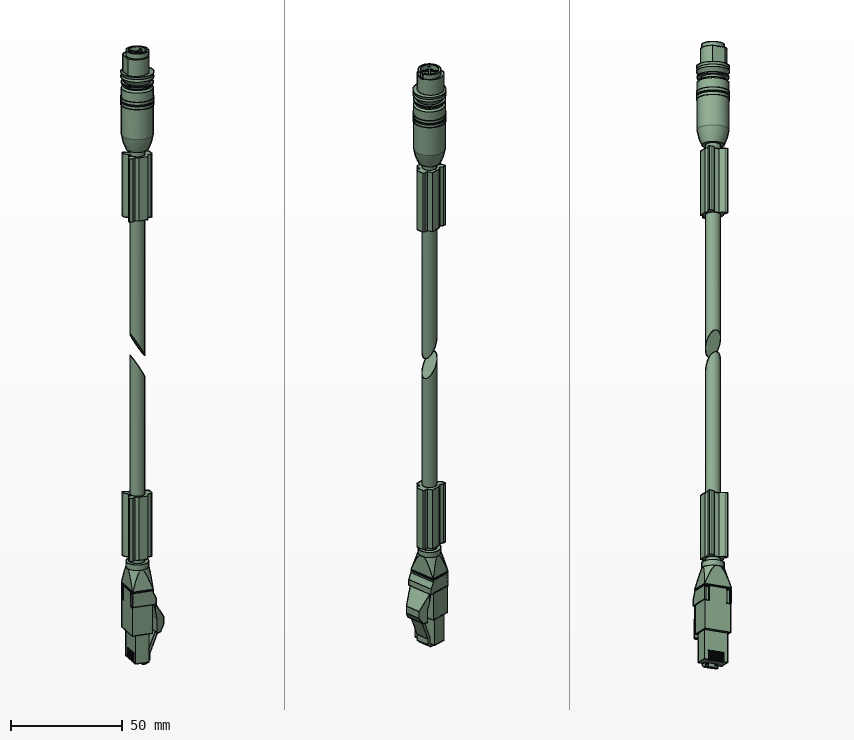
import cadquery as cq
import math


TOTAL_HEIGHT = 294.0

CABLE_RADIUS = 6.8 / 2
UPPER_BREAK_MID = 152.5
LOWER_BREAK_MID = 142.2
BREAK_HALF_RISE = 5.5

NOSE_RADIUS = 10.3 / 2
NOSE_BOTTOM = 283.5
SHELL_RADIUS = 12.0 / 2
SHELL_CENTER_Y = -0.73
SHELL_TOP = 291.5
SHELL_FLAT_Y = -6.0
COLLAR_CONE_RADIUS = 6.0
KEYWAY_WIDTH = 1.5
KEYWAY_DEPTH = 3.0
SOCKET_RADIUS = 8.2 / 2
SOCKET_DEPTH = 7.0
SHIELD_THICKNESS = 1.0
SHIELD_RECESS = 1.0
PIN_RADIUS = 1.0 / 2
PIN_CIRCLE_RADIUS = 3.0
PIN_PAIR_ANGLE = 40.0
PIN_RECESS = 1.8
COLLAR_RADIUS = 15.0 / 2
BODY_RADIUS = 14.5 / 2
NECK_RADIUS = 10.5 / 2
TAIL_RADIUS = 10.0 / 2
COLLAR_WAIST = 282.5
COLLAR_EDGE = 281.3
COLLAR_CONE_BOTTOM = 279.0
DISC_THICKNESS = 0.5
BODY_TOP = 277.0
BODY_BOTTOM = 253.5
BODY_CHAMFER = 1.0
RING_TOP = 271.5
RING_BOTTOM = 268.0
RING_GROOVE_WIDTH = 0.5
TAIL_BEND_RADIUS = 6.2
TAIL_BEND_Z = 249.2
TAIL_BOTTOM = 246.5

SLEEVE_LENGTH = 30.3
SLEEVE_BOTTOMS = [213.7, 50.8]
SLEEVE_HALF_WIDTH = 4.7
SLEEVE_WAIST_HALF_WIDTH = 3.8
SLEEVE_REAR_HALF_WIDTH = 2.4
TROUGH_FLOOR_HALF_WIDTH = 1.2
TROUGH_MOUTH_HALF_WIDTH = 3.5
REAR_FACE_HALF_WIDTH = 1.8
SLEEVE_FRONT_Y = -5.5
WING_BACK_Y = -4.0
WAIST_FRONT_Y = -2.5
SIDE_FRONT_Y = -1.2
TROUGH_FLOOR_Y = -3.8
TROUGH_WALL_X = 2.0
TROUGH_WALL_Y = -5.0
SIDE_REAR_Y = 3.2
SHOULDER_Y = 4.0
REAR_EDGE_Y = 5.5
SLEEVE_REAR_Y = 6.5

BOOT_TOP = 48.8
BOOT_RING_BOTTOM = 46.0
BOOT_RADIUS = 10.3 / 2
BOOT_DEPTH_HALF = 5.0
HOUSING_HALF_WIDTH = 6.8
HOUSING_BOTTOM = 15.5
HOUSING_SIDE_STEP = 0.3
HOUSING_REAR_Y = 4.7
SEAM_Z = 36.7
SEAM_WIDTH = 0.5
SEAM_DEPTH = 0.3
WINDOW_BOTTOM = 29.0
WINDOW_WIDTH = 1.8
WINDOW_RIM = 0.5
WINDOW_DEPTH = 0.5
HOOD_REAR_Y = 6.5
HOOD_KNEE_Z = 32.3
HOOD_SLOPE_TOP = 35.3
HOOD_BOTTOM = 29.5
TONGUE_HALF_WIDTH = 6.0
TONGUE_HALF_DEPTH = 3.2
TONGUE_BOTTOM = 1.8
CONTACT_COUNT = 8
CONTACT_PITCH = 1.03
CONTACT_SLOT_WIDTH = 0.5
CONTACT_SLOT_DEPTH = 1.0
CONTACT_SLOT_TOP = 6.2

LEVER_REACH_Y = 11.32
LEVER_ROOT_HALF_WIDTH = 6.0
LEVER_PEAK_HALF_WIDTH = 3.8
LEVER_PEAK_TOP = 21.7
LEVER_PEAK_BOTTOM = 18.2
LEVER_HEEL_Z = 15.0
LEVER_HEEL_OUTER_Y = 9.5
LEVER_INNER_Y = 7.3
LEVER_ROOT_Y = 5.5
LATCH_THICKNESS = 1.5
LATCH_FOOT_Y = 3.2
LATCH_FOOT_Z = 4.7
LATCH_TIP_OUTER_Y = 4.7
LATCH_TIP_BOTTOM_Y = 3.0
LATCH_TIP_INNER_Y = 1.2
LATCH_HALF_WIDTH = 3.2
LATCH_GAP_WIDTH = 1.0
LATCH_GAP_OFFSET = 2.0
LATCH_GAP_HEIGHT = 1.5


def cylinder(radius, bottom, top):
    return cq.Workplane("XY").workplane(offset=bottom).circle(radius).extrude(top - bottom)


def block(x_min, x_max, y_min, y_max, z_min, z_max):
    size = (x_max - x_min, y_max - y_min, z_max - z_min)
    return cq.Workplane("XY").box(*size, centered=False).translate((x_min, y_min, z_min))


def side_prism(points, half_width):
    """Extrude a (y, z) outline symmetrically along X."""
    return cq.Workplane("YZ").polyline(points).close().extrude(half_width, both=True)


def upper_cable():
    outline = [
        (-CABLE_RADIUS, UPPER_BREAK_MID + BREAK_HALF_RISE),
        (CABLE_RADIUS, UPPER_BREAK_MID - BREAK_HALF_RISE),
        (CABLE_RADIUS, TAIL_BOTTOM),
        (-CABLE_RADIUS, TAIL_BOTTOM),
    ]
    lowest = UPPER_BREAK_MID - BREAK_HALF_RISE
    return cylinder(CABLE_RADIUS, lowest, TAIL_BOTTOM).intersect(side_prism(outline, CABLE_RADIUS))


def lower_cable():
    outline = [
        (-CABLE_RADIUS, LOWER_BREAK_MID + BREAK_HALF_RISE),
        (CABLE_RADIUS, LOWER_BREAK_MID - BREAK_HALF_RISE),
        (CABLE_RADIUS, BOOT_TOP),
        (-CABLE_RADIUS, BOOT_TOP),
    ]
    highest = LOWER_BREAK_MID + BREAK_HALF_RISE
    return cylinder(CABLE_RADIUS, BOOT_TOP, highest).intersect(side_prism(outline, CABLE_RADIUS))


def connector_turning():
    """Turned shape of the round connector: nose, collar, body and tapered tail."""
    disc_bottom = COLLAR_CONE_BOTTOM - DISC_THICKNESS
    profile = [
        (0, TOTAL_HEIGHT),
        (NOSE_RADIUS, TOTAL_HEIGHT),
        (NOSE_RADIUS, NOSE_BOTTOM),
        (COLLAR_RADIUS, NOSE_BOTTOM),
        (BODY_RADIUS, COLLAR_WAIST),
        (COLLAR_RADIUS, COLLAR_EDGE),
        (COLLAR_CONE_RADIUS, COLLAR_CONE_BOTTOM),
        (BODY_RADIUS, COLLAR_CONE_BOTTOM),
        (BODY_RADIUS, disc_bottom),
        (NECK_RADIUS, disc_bottom),
        (NECK_RADIUS, BODY_TOP),
        (BODY_RADIUS - BODY_CHAMFER, BODY_TOP),
        (BODY_RADIUS, BODY_TOP - BODY_CHAMFER),
        (BODY_RADIUS, BODY_BOTTOM),
    ]
    turning = (
        cq.Workplane("XZ")
        .polyline(profile)
        .threePointArc((TAIL_BEND_RADIUS, TAIL_BEND_Z), (TAIL_RADIUS, TAIL_BOTTOM))
        .lineTo(0, TAIL_BOTTOM)
        .close()
        .revolve(360, (0, 0, 0), (0, 1, 0))
    )
    ring_middle = (RING_TOP + RING_BOTTOM) / 2
    band_height = (RING_TOP - RING_BOTTOM - RING_GROOVE_WIDTH) / 2
    for bottom in (RING_BOTTOM, ring_middle + RING_GROOVE_WIDTH / 2):
        turning = turning.union(cylinder(COLLAR_RADIUS, bottom, bottom + band_height))
    return turning


def connector_shell():
    """Eccentric shell around the nose, flat towards -Y and almost flush with the nose at +Y."""
    shell = cylinder(SHELL_RADIUS, NOSE_BOTTOM, SHELL_TOP).translate((0, SHELL_CENTER_Y, 0))
    limits = block(-SHELL_RADIUS, SHELL_RADIUS, SHELL_FLAT_Y, SHELL_RADIUS, NOSE_BOTTOM, SHELL_TOP)
    return shell.intersect(limits)


def connector_contacts(floor):
    """Diagonal shield cross with one pair of pins in each of its four quarters."""
    top = TOTAL_HEIGHT - SHIELD_RECESS
    arm = block(
        -SOCKET_RADIUS, SOCKET_RADIUS, -SHIELD_THICKNESS / 2, SHIELD_THICKNESS / 2, floor, top
    )
    contacts = cq.Workplane("XY")
    for angle in (45, 135):
        contacts = contacts.add(arm.rotate((0, 0, 0), (0, 0, 1), angle))
    for quarter in range(4):
        for side in (-1, 1):
            angle = math.radians(90 * quarter + side * PIN_PAIR_ANGLE / 2)
            place = (PIN_CIRCLE_RADIUS * math.cos(angle), PIN_CIRCLE_RADIUS * math.sin(angle), 0)
            contacts = contacts.add(cylinder(PIN_RADIUS, floor, TOTAL_HEIGHT - PIN_RECESS).translate(place))
    return contacts.combine()


def make_connector_half():
    """Round connector moulded onto the upper length of cable."""
    floor = TOTAL_HEIGHT - SOCKET_DEPTH
    keyway = block(
        -KEYWAY_WIDTH / 2, KEYWAY_WIDTH / 2, 0, NOSE_RADIUS, TOTAL_HEIGHT - KEYWAY_DEPTH, TOTAL_HEIGHT
    )
    half = connector_turning().union(connector_shell())
    half = half.cut(cylinder(SOCKET_RADIUS, floor, TOTAL_HEIGHT)).cut(keyway)
    return half.union(connector_contacts(floor)).union(upper_cable())


def make_sleeve(bottom):
    """Marker sleeve around the cable, with a label trough towards -Y."""
    right_side = [
        (SLEEVE_HALF_WIDTH, SLEEVE_FRONT_Y),
        (SLEEVE_HALF_WIDTH, WING_BACK_Y),
        (SLEEVE_WAIST_HALF_WIDTH, WAIST_FRONT_Y),
        (SLEEVE_HALF_WIDTH, SIDE_FRONT_Y),
        (SLEEVE_HALF_WIDTH, SIDE_REAR_Y),
        (SLEEVE_REAR_HALF_WIDTH, SHOULDER_Y),
        (SLEEVE_REAR_HALF_WIDTH, REAR_EDGE_Y),
        (REAR_FACE_HALF_WIDTH, SLEEVE_REAR_Y),
    ]
    left_side = [(-x, y) for x, y in reversed(right_side)]
    section = (
        cq.Workplane("XY")
        .workplane(offset=bottom)
        .moveTo(-TROUGH_FLOOR_HALF_WIDTH, TROUGH_FLOOR_Y)
        .lineTo(TROUGH_FLOOR_HALF_WIDTH, TROUGH_FLOOR_Y)
        .threePointArc((TROUGH_WALL_X, TROUGH_WALL_Y), (TROUGH_MOUTH_HALF_WIDTH, SLEEVE_FRONT_Y))
    )
    for point in right_side + left_side:
        section = section.lineTo(*point)
    section = (
        section.lineTo(-TROUGH_MOUTH_HALF_WIDTH, SLEEVE_FRONT_Y)
        .threePointArc((-TROUGH_WALL_X, TROUGH_WALL_Y), (-TROUGH_FLOOR_HALF_WIDTH, TROUGH_FLOOR_Y))
        .close()
    )
    sleeve = section.extrude(SLEEVE_LENGTH)
    return sleeve.cut(cylinder(CABLE_RADIUS, bottom, bottom + SLEEVE_LENGTH))


def plug_boot():
    """Strain relief: a round ring that blends into the rectangular housing."""
    ring = cylinder(BOOT_RADIUS, BOOT_RING_BOTTOM, BOOT_TOP)
    corner_radius = math.hypot(HOUSING_HALF_WIDTH, BOOT_DEPTH_HALF)
    cone = (
        cq.Workplane("XY")
        .workplane(offset=SEAM_Z)
        .circle(corner_radius)
        .workplane(offset=BOOT_RING_BOTTOM - SEAM_Z)
        .circle(BOOT_RADIUS)
        .loft(ruled=True)
    )
    sloping_sides = (
        cq.Workplane("XZ")
        .polyline(
            [
                (-HOUSING_HALF_WIDTH, SEAM_Z),
                (HOUSING_HALF_WIDTH, SEAM_Z),
                (BOOT_RADIUS, BOOT_RING_BOTTOM),
                (-BOOT_RADIUS, BOOT_RING_BOTTOM),
            ]
        )
        .close()
        .extrude(BOOT_DEPTH_HALF, both=True)
    )
    return ring.union(cone.intersect(sloping_sides))


def plug_housing():
    """Rectangular housing with a hood at the rear, a seam all round and two front windows."""
    outline = [
        (-BOOT_DEPTH_HALF, SEAM_Z),
        (BOOT_DEPTH_HALF, SEAM_Z),
        (BOOT_DEPTH_HALF, HOOD_SLOPE_TOP),
        (HOOD_REAR_Y, HOOD_KNEE_Z),
        (HOOD_REAR_Y, HOOD_BOTTOM),
        (HOUSING_REAR_Y, HOOD_BOTTOM),
        (HOUSING_REAR_Y, HOUSING_BOTTOM),
        (-BOOT_DEPTH_HALF, HOUSING_BOTTOM),
    ]
    housing = side_prism(outline, HOUSING_HALF_WIDTH)
    seam_bottom = SEAM_Z - SEAM_WIDTH
    core_half_width = HOUSING_HALF_WIDTH - SEAM_DEPTH
    core_half_depth = BOOT_DEPTH_HALF - SEAM_DEPTH
    around = block(
        -HOUSING_HALF_WIDTH, HOUSING_HALF_WIDTH, -HOOD_REAR_Y, HOOD_REAR_Y, seam_bottom, SEAM_Z
    )
    core = block(
        -core_half_width, core_half_width, -core_half_depth, core_half_depth, seam_bottom, SEAM_Z
    )
    housing = housing.cut(around.cut(core))
    window = block(
        -WINDOW_WIDTH / 2,
        WINDOW_WIDTH / 2,
        -BOOT_DEPTH_HALF,
        WINDOW_DEPTH - BOOT_DEPTH_HALF,
        WINDOW_BOTTOM,
        seam_bottom - WINDOW_RIM,
    )
    window_x = HOUSING_HALF_WIDTH - WINDOW_RIM - WINDOW_WIDTH / 2
    side_step = block(
        -HOUSING_SIDE_STEP / 2,
        HOUSING_SIDE_STEP / 2,
        -BOOT_DEPTH_HALF,
        HOOD_REAR_Y,
        HOUSING_BOTTOM,
        HOOD_BOTTOM,
    )
    step_x = HOUSING_HALF_WIDTH - HOUSING_SIDE_STEP / 2
    for side in (-1, 1):
        housing = housing.cut(window.translate((side * window_x, 0, 0)))
        housing = housing.cut(side_step.translate((side * step_x, 0, 0)))
    return housing


def plug_tongue():
    """Mating tongue with a row of contact slots in its front face."""
    tongue = block(
        -TONGUE_HALF_WIDTH,
        TONGUE_HALF_WIDTH,
        -TONGUE_HALF_DEPTH,
        TONGUE_HALF_DEPTH,
        TONGUE_BOTTOM,
        HOUSING_BOTTOM,
    )
    slot = block(
        -CONTACT_SLOT_WIDTH / 2,
        CONTACT_SLOT_WIDTH / 2,
        -TONGUE_HALF_DEPTH,
        CONTACT_SLOT_DEPTH - TONGUE_HALF_DEPTH,
        TONGUE_BOTTOM,
        CONTACT_SLOT_TOP,
    )
    for index in range(CONTACT_COUNT):
        x = (index - (CONTACT_COUNT - 1) / 2) * CONTACT_PITCH
        tongue = tongue.cut(slot.translate((x, 0, 0)))
    return tongue


def plug_lever():
    """Release lever hanging from the hood, narrowing towards its outer edge."""
    lever = side_prism(
        [
            (HOOD_REAR_Y, HOOD_BOTTOM),
            (LEVER_REACH_Y, LEVER_PEAK_TOP),
            (LEVER_REACH_Y, LEVER_PEAK_BOTTOM),
            (LEVER_HEEL_OUTER_Y, LEVER_HEEL_Z),
            (LEVER_INNER_Y, LEVER_HEEL_Z),
            (LEVER_INNER_Y, LEVER_PEAK_TOP),
            (LEVER_ROOT_Y, HOOD_BOTTOM),
        ],
        LEVER_ROOT_HALF_WIDTH,
    )
    plan = [
        (-LEVER_ROOT_HALF_WIDTH, TONGUE_HALF_DEPTH),
        (LEVER_ROOT_HALF_WIDTH, TONGUE_HALF_DEPTH),
        (LEVER_ROOT_HALF_WIDTH, HOOD_REAR_Y),
        (LEVER_PEAK_HALF_WIDTH, LEVER_REACH_Y),
        (-LEVER_PEAK_HALF_WIDTH, LEVER_REACH_Y),
        (-LEVER_ROOT_HALF_WIDTH, HOOD_REAR_Y),
    ]
    return lever.intersect(cq.Workplane("XY").polyline(plan).close().extrude(TOTAL_HEIGHT))


def plug_latch():
    """Thin latch strip from the lever heel down to the tip of the tongue."""
    strip = side_prism(
        [
            (LEVER_INNER_Y + LATCH_THICKNESS, LEVER_HEEL_Z),
            (LEVER_INNER_Y, LEVER_HEEL_Z),
            (LATCH_FOOT_Y, LATCH_FOOT_Z),
            (LATCH_TIP_INNER_Y, TONGUE_BOTTOM),
            (LATCH_TIP_INNER_Y, 0),
            (LATCH_TIP_BOTTOM_Y, 0),
            (LATCH_TIP_OUTER_Y, TONGUE_BOTTOM),
            (LATCH_FOOT_Y + LATCH_THICKNESS, LATCH_FOOT_Z),
        ],
        LATCH_HALF_WIDTH,
    )
    for side in (-1, 1):
        middle = side * LATCH_GAP_OFFSET
        strip = strip.cut(
            block(
                middle - LATCH_GAP_WIDTH / 2,
                middle + LATCH_GAP_WIDTH / 2,
                -HOOD_REAR_Y,
                HOOD_REAR_Y,
                0,
                LATCH_GAP_HEIGHT,
            )
        )
    return strip


def make_plug_half():
    """Modular plug moulded onto the lower length of cable."""
    half = lower_cable().union(plug_boot()).union(plug_housing()).union(plug_tongue())
    return half.union(plug_lever()).union(plug_latch())


connector_half = make_connector_half()
plug_half = make_plug_half()
sleeves = [make_sleeve(bottom) for bottom in SLEEVE_BOTTOMS]

result = cq.Compound.makeCompound(
    [connector_half.val(), plug_half.val(), *[sleeve.val() for sleeve in sleeves]]
)